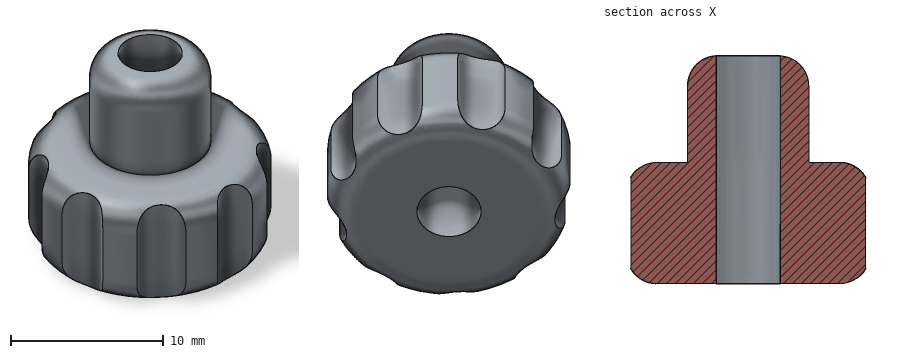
import cadquery as cq

head_diameter = 15.99
head_height = 8.0

stem_diameter = head_diameter / 2
stem_height = 7.0
bore_diameter = 4.2

edge_radius = 2.0

grip_count = 9
grip_radius = 2.0
grip_center_radius = 9.0

total_height = head_height + stem_height


def make_head():
    """Disc with both rims rounded and grips cut along its full height."""
    disc = cq.Workplane("XY").circle(head_diameter / 2).extrude(head_height)
    rounded_disc = disc.edges("%CIRCLE").fillet(edge_radius)
    grips = (
        cq.Workplane("XY")
        .polarArray(grip_center_radius, 0, 360, grip_count)
        .circle(grip_radius)
        .extrude(head_height)
    )
    return rounded_disc.cut(grips)


def make_stem():
    """Cylinder standing on the head, with a rounded tip."""
    stem = cq.Workplane("XY").workplane(offset=head_height).circle(stem_diameter / 2).extrude(stem_height)
    return stem.faces(">Z").edges().fillet(edge_radius)


def make_bore():
    """Cylinder that passes through both stem and head."""
    return cq.Workplane("XY").circle(bore_diameter / 2).extrude(total_height)


result = make_head().union(make_stem()).cut(make_bore())